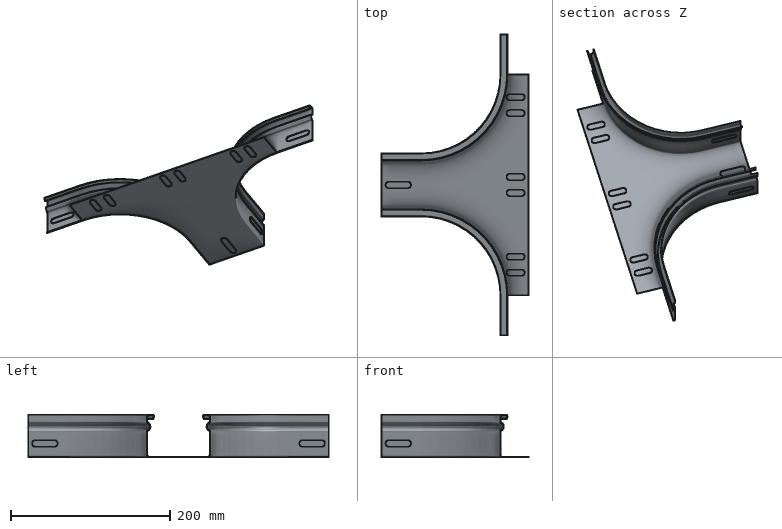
import cadquery as cq
import math


total_width = 378.0
total_length = 185.0
straight_length = 50.3
turn_radius = 99.0
turn_center_x = straight_length
turn_center_y = total_width / 2 - straight_length
inlet_half_width = turn_center_y - turn_radius
arm_wall_x = turn_center_x + turn_radius

sheet = 0.8
wall_height = 53.5
bend_radius = 2.3
lip_width = 9.0
lip_drop = 5.5
lip_turn = math.radians(110)
bead_z = 38.5
bead_rise = 4.5
bead_radius = 5.3
bead_blend = 2.0

touching = 0.005

slot_width = 8.0
slot_depth = 0.2
end_slot_length = 32.0
end_slot_inset = 21.0
wall_slot_z = 17.5
edge_slot_length = 22.5
edge_slot_x = 168.5
edge_slot_spacing = 20.0
edge_slot_pair_pitch = 100.0


def polar(center, radius, angle):
    return (center[0] + radius * math.cos(angle), center[1] + radius * math.sin(angle))


def skin_arcs(depth):
    """Arcs of the sheet surface at a depth below the outer skin, from base to lip.

    Each arc is its start, middle and end point as (distance into the channel, height).
    """
    bead_u = bead_rise - bead_radius
    blend_u = sheet + bead_blend
    blend_rise = math.sqrt((bead_radius + bead_blend) ** 2 - (blend_u - bead_u) ** 2)
    blend_angle = math.atan2(blend_rise, blend_u - bead_u)
    skin_bend = bend_radius - depth
    skin_blend = bead_blend + sheet - depth
    skin_bead = bead_radius - sheet + depth
    quarter = math.pi / 2
    half = math.pi

    bends = [
        ((bend_radius, bend_radius), skin_bend, 3 * quarter, half),
        ((blend_u, bead_z - blend_rise), skin_blend, half, half - blend_angle),
        ((bead_u, bead_z), skin_bead, -blend_angle, blend_angle),
        ((blend_u, bead_z + blend_rise), skin_blend, half + blend_angle, half),
        ((bend_radius, wall_height - bend_radius), skin_bend, half, quarter),
        ((lip_width - bend_radius, wall_height - bend_radius), skin_bend, quarter, quarter - lip_turn),
    ]
    return [
        [polar(center, radius, angle) for angle in (start, (start + end) / 2, end)]
        for center, radius, start, end in bends
    ]


def lip_end(bend_end):
    """Point where the straight drooping edge of the lip stops."""
    end_z = wall_height - lip_drop
    run_back = (bend_end[1] - end_z) * math.tan(lip_turn - math.pi / 2)
    return (bend_end[0] - run_back, end_z)


def wall_section():
    """Closed section of the wall at the inlet end, in the YZ plane."""
    outer = skin_arcs(0)
    inner = [arc[::-1] for arc in reversed(skin_arcs(sheet))]
    outer_lip = lip_end(outer[-1][-1])
    inner_lip = lip_end(inner[0][0])

    def place(point):
        return (inlet_half_width - point[0], point[1])

    def draw(outline, arcs):
        """Add arcs in turn, joined by a line where the next one does not touch."""
        last = None
        for start, middle, end in arcs:
            if last is None or math.dist(last, start) > touching:
                outline = outline.lineTo(*place(start))
            outline = outline.threePointArc(place(middle), place(end))
            last = end
        return outline

    section = cq.Workplane("YZ").moveTo(*place(inner[-1][-1]))
    section = draw(section, outer).lineTo(*place(outer_lip))
    section = section.lineTo(*place(inner_lip))
    return draw(section, inner).close()


def quarter_turn(outline, radius):
    """Continue an outline from the inlet to the arm around the +Y turn centre."""
    middle = polar((turn_center_x, turn_center_y), radius, -math.pi / 4)
    return outline.threePointArc(middle, (turn_center_x + radius, turn_center_y))


def side_wall():
    """Wall on the +Y side, swept from the inlet to the end of the arm."""
    path = cq.Workplane("XY").moveTo(0, inlet_half_width).lineTo(straight_length, inlet_half_width)
    path = quarter_turn(path, turn_radius).lineTo(arm_wall_x, total_width / 2)
    return wall_section().sweep(path)


def base_half():
    """Base plate on the +Y side, bounded by the bends below the wall."""
    edge_radius = turn_radius + bend_radius
    edge_y = turn_center_y - edge_radius
    outline = cq.Workplane("XY").lineTo(0, edge_y).lineTo(straight_length, edge_y)
    outline = quarter_turn(outline, edge_radius)
    outline = outline.lineTo(total_length, turn_center_y).lineTo(total_length, 0).close()
    return outline.extrude(sheet)


def slot_recesses(center, normal, along, length):
    """Slot recesses on both faces of a sheet.

    The centre lies on one face; the normal points through the sheet to the other.
    """
    start = cq.Vector(*center)
    through = cq.Vector(*normal)
    recesses = []
    for depth in (0, sheet - slot_depth):
        plane = cq.Plane(start + through * depth, cq.Vector(*along), through)
        recess = cq.Workplane(plane).slot2D(length, slot_width).extrude(slot_depth)
        recesses.append(recess)
    return recesses[0].union(recesses[1])


def cut_slots(body):
    """Recess the slots of the base, of the inlet walls and of the arm walls."""
    x_axis, y_axis, z_axis = (1, 0, 0), (0, 1, 0), (0, 0, 1)
    body = body.cut(slot_recesses((end_slot_inset, 0, 0), z_axis, x_axis, end_slot_length))
    for pair in (-1, 0, 1):
        for side in (-1, 1):
            slot_y = pair * edge_slot_pair_pitch + side * edge_slot_spacing / 2
            body = body.cut(slot_recesses((edge_slot_x, slot_y, 0), z_axis, x_axis, edge_slot_length))
    for side in (-1, 1):
        inlet_center = (end_slot_inset, side * inlet_half_width, wall_slot_z)
        body = body.cut(slot_recesses(inlet_center, (0, -side, 0), x_axis, end_slot_length))
        arm_center = (arm_wall_x, side * (total_width / 2 - end_slot_inset), wall_slot_z)
        body = body.cut(slot_recesses(arm_center, x_axis, y_axis, end_slot_length))
    return body


half = base_half().union(side_wall())
tee = half.union(half.mirror("XZ"))
result = cut_slots(tee)